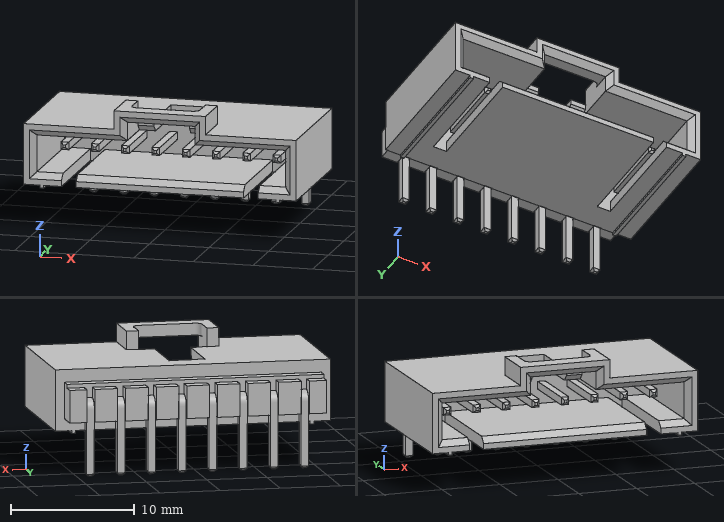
import cadquery as cq

BODY_WIDTH = 22.87
BODY_DEPTH = 11.5
BODY_HEIGHT = 5.08
WALL = 1.0
MOUTH_BEVEL = 0.5
CAVITY_DEPTH = 9.26
CAVITY_TOP = BODY_HEIGHT - WALL

BRIDGE_WIDTH = 7.68
BRIDGE_DEPTH = 3.82
BRIDGE_TOP = 6.6
BRIDGE_BAR_DEPTH = 1.46
BRIDGE_CORNER_RADIUS = 0.55
BRIDGE_INNER_WIDTH = BRIDGE_WIDTH - 2 * WALL

WINDOW_WIDTH = 2.97
FLOOR_SLOT_WIDTH = 1.21
FLOOR_SLOT_OFFSET = 7.65

TOTAL_DEPTH = 13.5
BLOCK_WIDTH = 21.34
BLOCK_BOTTOM = WALL
BLOCK_TOP = 4.03
BLOCK_STEP_TOP = 3.7
BLOCK_STEP_DEPTH = 1.03
NOTCH_WIDTH = 0.66

RIB_OFFSET = 9.9
RIB_WIDTH = 0.32
RIB_HEIGHT = 0.23

PIN_COUNT = 8
PIN_ROW_LENGTH = 17.8
PIN_PITCH = PIN_ROW_LENGTH / (PIN_COUNT - 1)
PIN_WIDTH = 0.65
PIN_HEIGHT = BODY_HEIGHT / 2
PIN_BACK = TOTAL_DEPTH - 0.2
PIN_FRONT = 3.38
PIN_BOTTOM = -3.5
BEND_RADIUS = 0.85
CONTACT_CHAMFER = 0.2
TAIL_CHAMFER = 0.18

PIN_POSITIONS = [i * PIN_PITCH - PIN_ROW_LENGTH / 2 for i in range(PIN_COUNT)]


def block(width, y_range, z_range, x_centre=0.0):
    """Box centred on x_centre that spans the given y and z ranges."""
    size_y = y_range[1] - y_range[0]
    size_z = z_range[1] - z_range[0]
    box = cq.Workplane("XY").box(width, size_y, size_z, centered=(True, False, False))
    return box.translate((x_centre, y_range[0], z_range[0]))


def make_shell():
    """Housing with its bridge, hollowed from the front, with a bevelled mouth."""
    shell = block(BODY_WIDTH, (0, BODY_DEPTH), (0, BODY_HEIGHT))
    shell = shell.union(block(BRIDGE_WIDTH, (0, BRIDGE_DEPTH), (0, BRIDGE_TOP)))

    shell = shell.cut(block(BODY_WIDTH - 2 * WALL, (0, CAVITY_DEPTH), (WALL, CAVITY_TOP)))
    shell = shell.cut(block(BRIDGE_INNER_WIDTH, (0, BRIDGE_DEPTH), (WALL, BRIDGE_TOP - WALL)))
    shell = shell.faces("<Y").wires().item(1).edges().chamfer(MOUTH_BEVEL)

    roof_lip = cq.selectors.NearestToPointSelector((0, BRIDGE_DEPTH, CAVITY_TOP))
    return shell.edges("|X").edges(roof_lip).chamfer(MOUTH_BEVEL)


def cut_openings(shell):
    """Open the bridge top, the roof window and the two floor slots."""
    bridge_gap = block(BRIDGE_INNER_WIDTH, (BRIDGE_BAR_DEPTH, BRIDGE_DEPTH), (BODY_HEIGHT, BRIDGE_TOP))
    shell = shell.cut(bridge_gap.edges("|Z and <Y").fillet(BRIDGE_CORNER_RADIUS))

    shell = shell.cut(block(WINDOW_WIDTH, (BRIDGE_DEPTH, CAVITY_DEPTH), (WALL, BODY_HEIGHT)))
    for x in (-FLOOR_SLOT_OFFSET, FLOOR_SLOT_OFFSET):
        shell = shell.cut(block(FLOOR_SLOT_WIDTH, (0, CAVITY_DEPTH), (0, WALL), x))
    return shell


def make_rear_block():
    """Stepped rear block with an open notch behind every pin."""
    step_start = TOTAL_DEPTH - BLOCK_STEP_DEPTH
    rear = block(BLOCK_WIDTH, (BODY_DEPTH, step_start), (BLOCK_BOTTOM, BLOCK_TOP))
    rear = rear.union(block(BLOCK_WIDTH, (step_start, TOTAL_DEPTH), (BLOCK_BOTTOM, BLOCK_STEP_TOP)))
    for x in PIN_POSITIONS:
        rear = rear.cut(block(NOTCH_WIDTH, (step_start, TOTAL_DEPTH), (BLOCK_BOTTOM, BLOCK_STEP_TOP), x))
    return rear


def make_rib(x):
    """Square ridge along the underside."""
    return block(RIB_WIDTH, (0, BODY_DEPTH), (-RIB_HEIGHT, 0), x)


def make_pin():
    """Square pin bent down at the back, both ends tapered."""
    half = PIN_WIDTH / 2
    contact = block(PIN_WIDTH, (PIN_FRONT, PIN_BACK), (PIN_HEIGHT - half, PIN_HEIGHT + half))
    contact = contact.faces("<Y").chamfer(CONTACT_CHAMFER)
    tail = block(PIN_WIDTH, (PIN_BACK - PIN_WIDTH, PIN_BACK), (PIN_BOTTOM, PIN_HEIGHT + half))
    tail = tail.faces("<Z").chamfer(TAIL_CHAMFER)
    return contact.union(tail).edges("|X and >Y and >Z").fillet(BEND_RADIUS)


result = cut_openings(make_shell()).union(make_rear_block())
for rib_x in (-RIB_OFFSET, RIB_OFFSET):
    result = result.union(make_rib(rib_x))
for pin_x in PIN_POSITIONS:
    result = result.union(make_pin().translate((pin_x, 0, 0)))